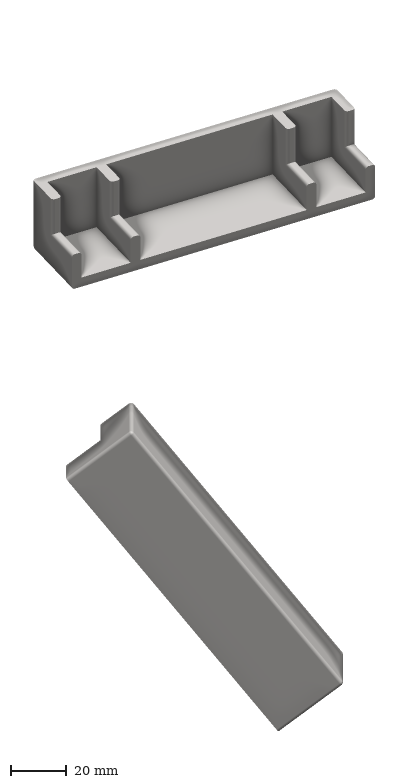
import cadquery as cq

length = 124.0
leg = 30.0
wall = 4.0
rib_width = leg / 2
rib_pitch = 24.0
edge_radius = 1.2

end_rib_y = (length - wall) / 2
inner_rib_y = end_rib_y - rib_pitch


def l_profile(arm_width, thickness):
    """L-shaped plate lying in XZ, centred on Y = 0."""
    return (
        cq.Workplane("XZ")
        .moveTo(0, 0)
        .lineTo(leg, 0)
        .lineTo(leg, arm_width)
        .lineTo(arm_width, arm_width)
        .lineTo(arm_width, leg)
        .lineTo(0, leg)
        .close()
        .extrude(thickness / 2, both=True)
    )


def make_rib(center_y):
    """L-shaped rib with both sides of its inner step rounded."""
    arm_middle = (rib_width + leg) / 2
    half_wall = wall / 2
    rib = l_profile(rib_width, wall)
    for side in (-half_wall, half_wall):
        upright_edge = cq.selectors.NearestToPointSelector((rib_width, side, arm_middle))
        level_edge = cq.selectors.NearestToPointSelector((arm_middle, side, rib_width))
        rib = rib.edges(upright_edge + level_edge).fillet(edge_radius)
    return rib.translate((0, center_y, 0))


body = l_profile(wall, length)
for rib_y in (-end_rib_y, -inner_rib_y, inner_rib_y, end_rib_y):
    body = body.union(make_rib(rib_y))

back_upright_edges = cq.selectors.StringSyntaxSelector("|Z and <X")
bottom_end_edges = cq.selectors.StringSyntaxSelector("|X and <Z")
bottom_back_edge = cq.selectors.StringSyntaxSelector("<X and <Z")
result = body.edges(back_upright_edges + bottom_end_edges + bottom_back_edge).fillet(edge_radius)